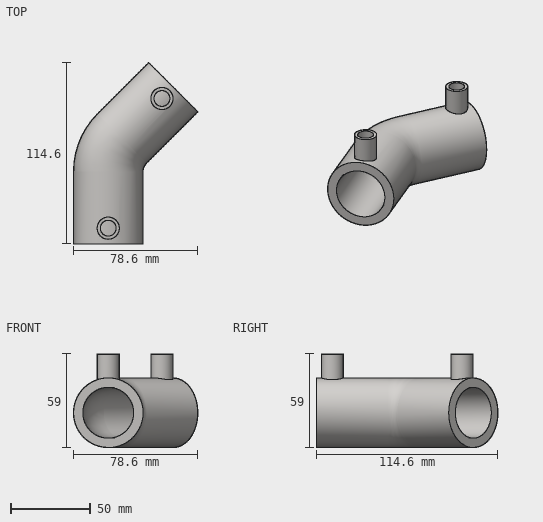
import cadquery as cq
import math

overall_length = 114.6
outer_diameter = 44.0
bore_diameter = 32.1
bend_radius = 29.8
bend_angle = 45.0

port_diameter = 14.0
port_bore_diameter = 10.0
port_top = 37.0
port_end_distance = 10.1

angle = math.radians(bend_angle)
leg_direction = (math.sin(angle), math.cos(angle))

bend_and_rim_length = (bend_radius + outer_diameter / 2) * math.sin(angle)
leg_length = (overall_length - bend_and_rim_length) / (1 + math.cos(angle))


def bend_point(turn):
    """Centreline point after turning through the given angle in the bend."""
    return (
        bend_radius * (1 - math.cos(turn)),
        leg_length + bend_radius * math.sin(turn),
    )


def second_leg_point(distance):
    """Centreline point at a distance beyond the end of the bend."""
    x, y = bend_point(angle)
    return (x + distance * leg_direction[0], y + distance * leg_direction[1])


def swept_rod(diameter):
    """Solid round rod following the elbow centreline."""
    centreline = (
        cq.Workplane("XY")
        .lineTo(0, leg_length)
        .threePointArc(bend_point(angle / 2), bend_point(angle))
        .lineTo(*second_leg_point(leg_length))
    )
    return cq.Workplane("XZ").circle(diameter / 2).sweep(centreline)


def upright_rods(diameter):
    """Vertical rods at both ports, from the pipe axis to the port tops."""
    centres = [
        (0, port_end_distance),
        second_leg_point(leg_length - port_end_distance),
    ]
    return cq.Workplane("XY").pushPoints(centres).circle(diameter / 2).extrude(port_top)


ports = upright_rods(port_diameter).cut(upright_rods(port_bore_diameter))
result = swept_rod(outer_diameter).union(ports).cut(swept_rod(bore_diameter))